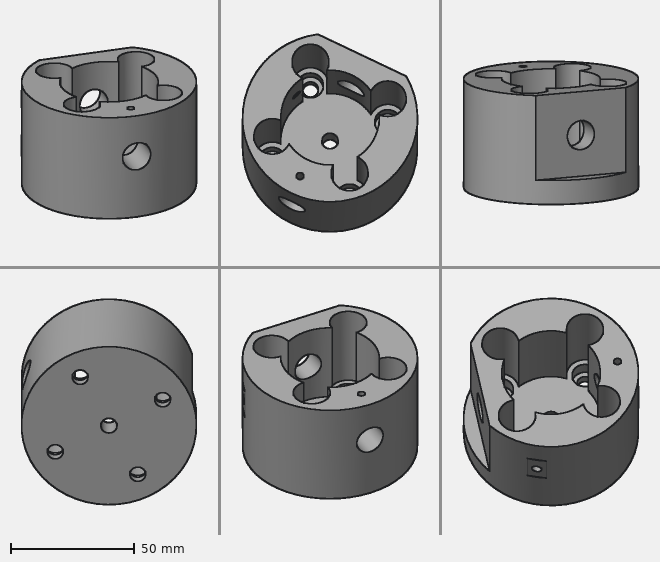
import cadquery as cq
import math

body_radius = 35.5
body_height = 45.0
floor_thickness = 10.0

bore_diameter = 40.0
center_hole_diameter = 6.5
screw_offset = 17.5
pocket_diameter = 15.0
counterbore_diameter = 10.5
counterbore_depth = 6.0
screw_hole_diameter = 6.4

flat_distance = 29.3
cross_hole_diameter = 12.0
cross_hole_height = 27.0

pin_hole_diameter = 3.0
pin_hole_x = 27.5

pad_angle = 20.6
pad_width = 7.95
pad_bottom = 21.0
pad_top = 34.0
radial_hole_diameter = 4.0


def vertical_cylinder(x, y, diameter, bottom, top):
    return (
        cq.Workplane("XY", origin=(x, y, bottom))
        .circle(diameter / 2)
        .extrude(top - bottom)
    )


def screw_recess(x, y):
    """Pocket, counterbore and through hole for one screw."""
    pocket = vertical_cylinder(x, y, pocket_diameter, floor_thickness, body_height)
    counterbore_floor = floor_thickness - counterbore_depth
    counterbore = vertical_cylinder(x, y, counterbore_diameter, counterbore_floor, floor_thickness)
    through_hole = vertical_cylinder(x, y, screw_hole_diameter, 0, body_height)
    return pocket.union(counterbore).union(through_hole)


def side_flat():
    """Material removed beyond the -X flat, above the floor level."""
    depth = body_radius - flat_distance
    return cq.Workplane("XY").box(depth, 2 * body_radius, body_height, centered=(False, True, False)).translate(
        (-body_radius, 0, floor_thickness)
    )


def cross_hole():
    return (
        cq.Workplane("YZ", origin=(-body_radius, 0, cross_hole_height))
        .circle(cross_hole_diameter / 2)
        .extrude(2 * body_radius)
    )


def pad_with_radial_hole():
    """Shallow flat whose width is a chord of the body, with a hole through to the bore."""
    chord_distance = math.sqrt(body_radius**2 - (pad_width / 2) ** 2)
    flat = cq.Workplane("XY").box(
        pad_width, body_radius - chord_distance, pad_top - pad_bottom, centered=(True, False, False)
    ).translate((0, -body_radius, pad_bottom))
    hole = (
        cq.Workplane("XZ", origin=(0, 0, cross_hole_height))
        .circle(radial_hole_diameter / 2)
        .extrude(body_radius)
    )
    return flat.union(hole).rotate((0, 0, 0), (0, 0, 1), -pad_angle)


result = vertical_cylinder(0, 0, 2 * body_radius, 0, body_height)
result = result.cut(side_flat())
result = result.cut(vertical_cylinder(0, 0, bore_diameter, floor_thickness, body_height))
result = result.cut(vertical_cylinder(0, 0, center_hole_diameter, 0, floor_thickness))

for x_side in (-1, 1):
    for y_side in (-1, 1):
        result = result.cut(screw_recess(x_side * screw_offset, y_side * screw_offset))

result = result.cut(cross_hole())
result = result.cut(vertical_cylinder(pin_hole_x, 0, pin_hole_diameter, cross_hole_height, body_height))
result = result.cut(pad_with_radial_hole())